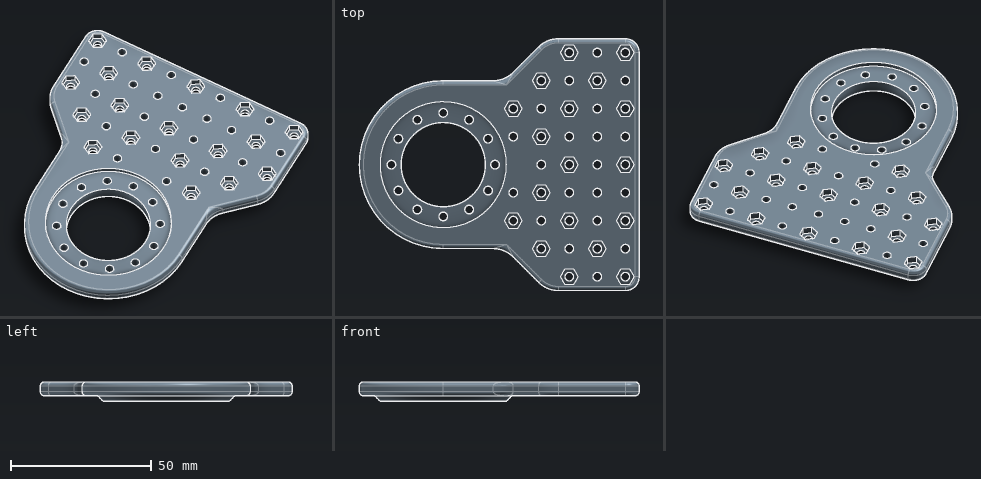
import cadquery as cq
import math

plate_thickness = 5.0
ring_outer_radius = 30.0
plate_half_width = 45.0
plate_end_x = 70.0
end_corner_radius = 5.0
flare_radius = 10.0
edge_round = 1.5

flare_angle = 45.0
flare_outer_x = 37.0
flare_run = (plate_half_width - ring_outer_radius) / math.tan(math.radians(flare_angle))
flare_inner_x = flare_outer_x - flare_run

match_tolerance = 0.01

bore_diameter = 30.0
recess_radius = 22.5
recess_depth = 2.0
boss_height = 2.0
boss_tip_radius = recess_radius
boss_root_radius = boss_tip_radius + boss_height

hole_diameter = 3.0
bolt_circle_radius = 18.5
bolt_count = 12

grid_pitch = 10.0
grid_start_x = 25.0
column_half_rows = [2, 3, 4, 4, 4]
omitted_hole = (0, 0)
plain_holes = [(3, -1), (3, 1)]
nut_sides = 6
nut_across_flats = 5.5
nut_pocket_depth = 3.0


def make_plate():
    outline = (
        cq.Workplane("XY")
        .moveTo(0, -ring_outer_radius)
        .lineTo(flare_inner_x, -ring_outer_radius)
        .lineTo(flare_outer_x, -plate_half_width)
        .lineTo(plate_end_x, -plate_half_width)
        .lineTo(plate_end_x, plate_half_width)
        .lineTo(flare_outer_x, plate_half_width)
        .lineTo(flare_inner_x, ring_outer_radius)
        .lineTo(0, ring_outer_radius)
        .threePointArc((-ring_outer_radius, 0), (0, -ring_outer_radius))
        .close()
    )
    plate = outline.extrude(plate_thickness)
    plate = vertical_edges_at(plate, plate_end_x, plate_half_width).fillet(end_corner_radius)
    plate = vertical_edges_at(plate, flare_outer_x, plate_half_width).fillet(flare_radius)
    plate = plate.faces("<Z or >Z").edges().fillet(edge_round)
    return crease_edges(plate).fillet(flare_radius)


def vertical_edges_at(body, x, half_width):
    return body.edges("|Z").filter(
        lambda edge: math.isclose(edge.Center().x, x) and math.isclose(abs(edge.Center().y), half_width)
    )


def crease_edges(body):
    rim_shift = edge_round * math.tan(math.radians(flare_angle / 2))
    return body.edges().filter(
        lambda edge: edge.BoundingBox().xmin > flare_inner_x - match_tolerance
        and edge.BoundingBox().xmax < flare_inner_x + rim_shift + match_tolerance
    )


def through_cutter(points, diameter):
    return (
        cq.Workplane("XY", origin=(0, 0, -boss_height))
        .pushPoints(points)
        .circle(diameter / 2)
        .extrude(plate_thickness + boss_height)
    )


def add_bearing_seat(body):
    boss = (
        cq.Workplane("XZ")
        .polyline([(0, 0), (boss_root_radius, 0), (boss_tip_radius, -boss_height), (0, -boss_height)])
        .close()
        .revolve(360, (0, 0, 0), (0, 1, 0))
    )
    recess = (
        cq.Workplane("XY", origin=(0, 0, plate_thickness - recess_depth))
        .circle(recess_radius)
        .extrude(recess_depth)
    )
    bore = through_cutter([(0, 0)], bore_diameter)
    return body.union(boss).cut(recess).cut(bore)


def cut_bolt_circle(body):
    bolt_angles = [2 * math.pi * index / bolt_count for index in range(bolt_count)]
    points = [
        (bolt_circle_radius * math.cos(angle), bolt_circle_radius * math.sin(angle))
        for angle in bolt_angles
    ]
    return body.cut(through_cutter(points, hole_diameter))


def cut_grid(body):
    hole_points = []
    nut_points = []
    for column, half_rows in enumerate(column_half_rows):
        for row in range(-half_rows, half_rows + 1):
            if (column, row) == omitted_hole:
                continue
            point = (grid_start_x + column * grid_pitch, row * grid_pitch)
            hole_points.append(point)
            if (column + row) % 2 == 0 and (column, row) not in plain_holes:
                nut_points.append(point)
    holes = through_cutter(hole_points, hole_diameter)
    nut_across_corners = nut_across_flats / math.cos(math.pi / nut_sides)
    nuts = (
        cq.Workplane("XY", origin=(0, 0, plate_thickness - nut_pocket_depth))
        .pushPoints(nut_points)
        .polygon(nut_sides, nut_across_corners)
        .extrude(nut_pocket_depth)
    )
    return body.cut(holes).cut(nuts)


plate = make_plate()
seated_plate = add_bearing_seat(plate)
drilled_plate = cut_bolt_circle(seated_plate)
result = cut_grid(drilled_plate)